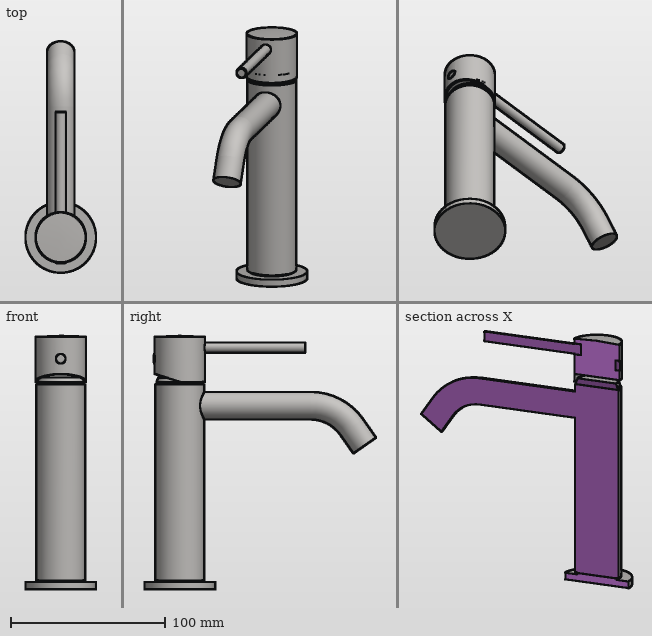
import cadquery as cq
import math

TOTAL_HEIGHT = 164.5

BASE_RADIUS = 23.0
BASE_THICKNESS = 4.8
NECK_RADIUS = 14.5
NECK_HEIGHT = 1.0

COLUMN_RADIUS = 16.0
COLUMN_BOTTOM = BASE_THICKNESS + NECK_HEIGHT
COLUMN_TOP = 133.2
COLUMN_CHAMFER = 0.5

SPOUT_RADIUS = 9.0
SPOUT_AXIS_Z = 119.1
SPOUT_STRAIGHT_END = 84.9
SPOUT_BEND_RADIUS = 32.5
SPOUT_BEND_ANGLE = math.radians(55)
SPOUT_TIP_LENGTH = 14.6

CAP_RADIUS = 15.1
CAP_RIM_HEIGHT = 1.3
CAP_TOP_RADIUS = 14.0
CAP_DOME_HEIGHT = 2.8
CAP_RIM_TOP = COLUMN_TOP + CAP_RIM_HEIGHT
CAP_TOP = CAP_RIM_TOP + CAP_DOME_HEIGHT

HANDLE_RADIUS = 16.5
HANDLE_CROWN = 0.7
HANDLE_CHAMFER = 0.3
HANDLE_BOTTOM = CAP_RIM_TOP
HANDLE_FRONT_RISE = 5.1
HANDLE_BORE_RADIUS = 15.6
HANDLE_BORE_TOP = HANDLE_BOTTOM + HANDLE_FRONT_RISE

LEVER_RADIUS = 3.5
LEVER_AXIS_Z = 156.8
LEVER_INNER_END = 11.5
LEVER_OUTER_END = 81.6
LEVER_CHAMFER = 0.5

BUTTON_RADIUS = 3.1
BUTTON_AXIS_Z = 149.5
BUTTON_PROTRUSION = 0.5
BUTTON_LENGTH = 3.3
BUTTON_EDGE_WIDTH = 1.2
BUTTON_EDGE_DEPTH = 0.3
BUTTON_FACE_Y = -HANDLE_RADIUS - BUTTON_PROTRUSION
BUTTON_INNER_END = BUTTON_FACE_Y + BUTTON_LENGTH


def disc(radius, bottom, top):
    """Upright cylinder on the Z axis."""
    return cq.Workplane("XY").workplane(offset=bottom).circle(radius).extrude(top - bottom)


def rod(radius, axis_z, start_y, end_y):
    """Cylinder along Y at height axis_z."""
    plane = cq.Plane(origin=(0, start_y, axis_z), xDir=(1, 0, 0), normal=(0, 1, 0))
    return cq.Workplane(plane).circle(radius).extrude(end_y - start_y)


def make_base():
    flange = disc(BASE_RADIUS, 0, BASE_THICKNESS)
    neck = disc(NECK_RADIUS, BASE_THICKNESS, COLUMN_BOTTOM)
    return flange.union(neck)


def make_spout():
    """Round bar swept from the column axis along a straight, a bend and a tip."""
    def bend_point(angle):
        y = SPOUT_STRAIGHT_END + SPOUT_BEND_RADIUS * math.sin(angle)
        z = SPOUT_AXIS_Z - SPOUT_BEND_RADIUS * (1 - math.cos(angle))
        return y, z

    bend_end_y, bend_end_z = bend_point(SPOUT_BEND_ANGLE)
    tip = (
        bend_end_y + SPOUT_TIP_LENGTH * math.cos(SPOUT_BEND_ANGLE),
        bend_end_z - SPOUT_TIP_LENGTH * math.sin(SPOUT_BEND_ANGLE),
    )
    path = (
        cq.Workplane("YZ")
        .moveTo(0, SPOUT_AXIS_Z)
        .lineTo(SPOUT_STRAIGHT_END, SPOUT_AXIS_Z)
        .threePointArc(bend_point(SPOUT_BEND_ANGLE / 2), (bend_end_y, bend_end_z))
        .lineTo(*tip)
    )
    start = cq.Plane(origin=(0, 0, SPOUT_AXIS_Z), xDir=(1, 0, 0), normal=(0, 1, 0))
    return cq.Workplane(start).circle(SPOUT_RADIUS).sweep(path)


def make_column():
    """Column and the spout that is part of it."""
    shaft = disc(COLUMN_RADIUS, COLUMN_BOTTOM, COLUMN_TOP).faces(">Z").chamfer(COLUMN_CHAMFER)
    return shaft.union(make_spout())


def make_cap():
    """Rim and spherical zone; the sphere is centred on the axis below the rim."""
    centre_drop = (CAP_RADIUS**2 - CAP_TOP_RADIUS**2 - CAP_DOME_HEIGHT**2) / (2 * CAP_DOME_HEIGHT)
    sphere_radius = math.hypot(CAP_RADIUS, centre_drop)
    mid_height = CAP_DOME_HEIGHT / 2
    mid_radius = math.sqrt(sphere_radius**2 - (centre_drop + mid_height) ** 2)
    return (
        cq.Workplane("XZ")
        .moveTo(0, COLUMN_TOP)
        .lineTo(CAP_RADIUS, COLUMN_TOP)
        .lineTo(CAP_RADIUS, CAP_RIM_TOP)
        .threePointArc((mid_radius, CAP_RIM_TOP + mid_height), (CAP_TOP_RADIUS, CAP_TOP))
        .lineTo(0, CAP_TOP)
        .close()
        .revolve(360, (0, 0, 0), (0, 1, 0))
    )


def make_handle_blank():
    """Cylinder with a chamfered top edge and a shallow spherical crown."""
    crown_radius = HANDLE_RADIUS - HANDLE_CHAMFER
    crown_base = TOTAL_HEIGHT - HANDLE_CROWN
    sphere_radius = (crown_radius**2 + HANDLE_CROWN**2) / (2 * HANDLE_CROWN)
    mid_radius = crown_radius / 2
    mid_z = TOTAL_HEIGHT - sphere_radius + math.sqrt(sphere_radius**2 - mid_radius**2)
    return (
        cq.Workplane("XZ")
        .moveTo(0, HANDLE_BOTTOM)
        .lineTo(HANDLE_RADIUS, HANDLE_BOTTOM)
        .lineTo(HANDLE_RADIUS, crown_base - HANDLE_CHAMFER)
        .lineTo(crown_radius, crown_base)
        .threePointArc((mid_radius, mid_z), (0, TOTAL_HEIGHT))
        .close()
        .revolve(360, (0, 0, 0), (0, 1, 0))
    )


def make_front_relief():
    """Wedge that slopes the handle underside upwards from its axis to -Y."""
    return (
        cq.Workplane("YZ")
        .moveTo(0, HANDLE_BOTTOM)
        .lineTo(-HANDLE_RADIUS, HANDLE_BOTTOM + HANDLE_FRONT_RISE)
        .lineTo(-HANDLE_RADIUS, HANDLE_BOTTOM)
        .close()
        .extrude(HANDLE_RADIUS, both=True)
    )


def make_handle():
    bore = disc(HANDLE_BORE_RADIUS, HANDLE_BOTTOM, HANDLE_BORE_TOP)
    lever_hole = rod(LEVER_RADIUS, LEVER_AXIS_Z, LEVER_INNER_END, HANDLE_RADIUS)
    button_hole = rod(BUTTON_RADIUS, BUTTON_AXIS_Z, BUTTON_FACE_Y, BUTTON_INNER_END)
    return make_handle_blank().cut(make_front_relief()).cut(bore).cut(lever_hole).cut(button_hole)


def make_lever():
    lever = rod(LEVER_RADIUS, LEVER_AXIS_Z, LEVER_INNER_END, LEVER_OUTER_END)
    return lever.faces(">Y").chamfer(LEVER_CHAMFER)


def make_button():
    """Short plug with a shallow bevel around its outer face."""
    button = rod(BUTTON_RADIUS, BUTTON_AXIS_Z, BUTTON_FACE_Y, BUTTON_INNER_END)
    return button.faces("<Y").chamfer(BUTTON_EDGE_DEPTH, BUTTON_EDGE_WIDTH)


base = make_base()
column = make_column()
cap = make_cap()
handle = make_handle()
lever = make_lever()
button = make_button()

result = cq.Compound.makeCompound(
    [base.val(), column.val(), cap.val(), handle.val(), lever.val(), button.val()]
)